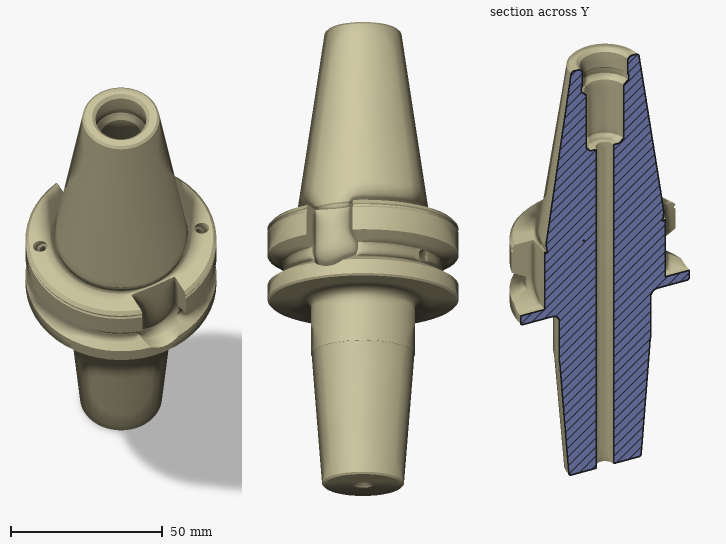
import cadquery as cq
import math

total_height = 155.4
flange_bottom_z = 63.0
flange_top_z = 89.0
groove_mid_z = 73.5
neck_end_z = 44.8

nose_radius = 13.5
nose_chamfer = 0.6
cone_top_radius = 17.0
neck_radius = 17.1
neck_fillet = 2.5

flange_diameter = 63.0
flange_radius = flange_diameter / 2
flange_edge_chamfer = 0.6
flange_top_chamfer = 1.1
groove_floor_radius = 26.4
groove_floor_width = 4.4
groove_flank_angle = 30.0
mark_depth = 0.5
mark_top_z = 87.8
mark_width = 1.5

taper_foot_z = 91.0
taper_foot_radius = 22.0
taper_ratio = 7 / 24 / 2
taper_top_chamfer = 0.8
relief_radius = 21.8
relief_chamfer = 0.5
relief_outer_radius = 23.3
relief_depth = 0.8
relief_undercut = 0.3
relief_lip_height = 0.6

coolant_radius = 3.1
bore_mouth_radius = 9.5
pilot_radius = 8.4
pilot_depth = 6.8
undercut_radius = 8.7
undercut_depth = 9.2
thread_radius = 6.8
thread_depth = 31.1
floor_radius = 5.5

slot_width = 16.2
slot_floor_x = 22.5
slot_bottom_z = 66.7

channel_angles = (70.0, 250.0)
channel_radius = 1.1
port_radius = 2.2
port_centre_radius = 26.9
port_depth = 1.9
port_tilt = 25.0
plug_depth = 5.5


def make_body():
    """Revolve the outer outline about Z."""
    groove_low = groove_mid_z - groove_floor_width / 2
    groove_high = groove_mid_z + groove_floor_width / 2
    flank_rise = (flange_radius - groove_floor_radius) * math.tan(math.radians(groove_flank_angle))
    taper_top_radius = taper_foot_radius - (total_height - taper_foot_z) * taper_ratio
    mark_bottom_z = mark_top_z - mark_width
    arc_offset = neck_fillet * (1 - math.sqrt(0.5))

    outline = (
        cq.Workplane("XZ")
        .moveTo(0, 0)
        .lineTo(nose_radius - nose_chamfer, 0)
        .lineTo(nose_radius, nose_chamfer)
        .lineTo(cone_top_radius, neck_end_z)
        .lineTo(neck_radius, neck_end_z)
        .lineTo(neck_radius, flange_bottom_z - neck_fillet)
        .threePointArc(
            (neck_radius + arc_offset, flange_bottom_z - arc_offset),
            (neck_radius + neck_fillet, flange_bottom_z),
        )
        .lineTo(flange_radius - flange_edge_chamfer, flange_bottom_z)
        .lineTo(flange_radius, flange_bottom_z + flange_edge_chamfer)
        .lineTo(flange_radius, groove_low - flank_rise)
        .lineTo(groove_floor_radius, groove_low)
        .lineTo(groove_floor_radius, groove_high)
        .lineTo(flange_radius, groove_high + flank_rise)
        .lineTo(flange_radius, mark_bottom_z)
        .lineTo(flange_radius - mark_depth, mark_bottom_z + mark_depth)
        .lineTo(flange_radius - mark_depth, mark_top_z - mark_depth)
        .lineTo(flange_radius, mark_top_z)
        .lineTo(flange_radius, flange_top_z - flange_top_chamfer)
        .lineTo(flange_radius - flange_top_chamfer, flange_top_z)
        .lineTo(relief_outer_radius, flange_top_z)
        .lineTo(relief_radius - relief_undercut, flange_top_z - relief_depth)
        .lineTo(relief_radius, flange_top_z + relief_lip_height)
        .lineTo(relief_radius, taper_foot_z - relief_chamfer)
        .lineTo(taper_foot_radius, taper_foot_z)
        .lineTo(taper_top_radius, total_height - taper_top_chamfer)
        .lineTo(taper_top_radius - taper_top_chamfer, total_height)
        .lineTo(0, total_height)
        .close()
    )
    return outline.revolve(360, (0, 0, 0), (0, 1, 0))


def make_bore():
    """Stepped bore: chamfered pilot, undercut, thread bore and through coolant hole."""
    mouth_chamfer = bore_mouth_radius - pilot_radius
    undercut_step = undercut_radius - pilot_radius
    thread_chamfer = pilot_radius - thread_radius
    floor_cone = thread_radius - floor_radius
    steps = [
        (bore_mouth_radius, 0),
        (pilot_radius, mouth_chamfer),
        (pilot_radius, pilot_depth),
        (undercut_radius, pilot_depth + undercut_step),
        (undercut_radius, undercut_depth),
        (pilot_radius, undercut_depth),
        (thread_radius, undercut_depth + thread_chamfer),
        (thread_radius, thread_depth),
        (floor_radius, thread_depth + floor_cone),
        (coolant_radius, thread_depth + floor_cone),
        (coolant_radius, total_height),
    ]
    outline = cq.Workplane("XZ").moveTo(0, total_height)
    for radius, depth in steps:
        outline = outline.lineTo(radius, total_height - depth)
    return outline.lineTo(0, 0).close().revolve(360, (0, 0, 0), (0, 1, 0))


def make_drive_slot(side):
    """Round-bottomed slot, open at the flange rim and top; side is -1 or +1 along X."""
    half_width = slot_width / 2
    arc_centre_z = slot_bottom_z + half_width
    start_x = slot_floor_x if side > 0 else -flange_radius
    return (
        cq.Workplane("YZ", origin=(start_x, 0, 0))
        .moveTo(-half_width, flange_top_z)
        .lineTo(-half_width, arc_centre_z)
        .threePointArc((0, slot_bottom_z), (half_width, arc_centre_z))
        .lineTo(half_width, flange_top_z)
        .close()
        .extrude(flange_radius - slot_floor_x)
    )


def make_channel(angle):
    """Tilted port in the flange top joined to a radial plug hole in the V groove."""
    tilt = math.radians(port_tilt)
    inward = cq.Vector(-math.sin(tilt), 0, -math.cos(tilt))
    port_centre = cq.Vector(port_centre_radius, 0, flange_top_z)
    drop = flange_top_z - groove_mid_z
    meeting_point = port_centre + inward * (drop / math.cos(tilt))

    clearance = port_radius
    port = cq.Solid.makeCylinder(
        port_radius, port_depth + clearance, port_centre - inward * clearance, inward
    )
    feed = cq.Solid.makeCylinder(channel_radius, drop / math.cos(tilt), port_centre, inward)

    radial = cq.Vector(1, 0, 0)
    plug_start = cq.Vector(groove_floor_radius - plug_depth, 0, groove_mid_z)
    plug = cq.Solid.makeCylinder(port_radius, plug_depth, plug_start, radial)
    link = cq.Solid.makeCylinder(
        channel_radius, plug_start.x - meeting_point.x, meeting_point, radial
    )
    channel = cq.Workplane(port).union(cq.Workplane(feed))
    channel = channel.union(cq.Workplane(plug)).union(cq.Workplane(link))
    return channel.rotate((0, 0, 0), (0, 0, 1), angle)


result = make_body().cut(make_bore())
for side in (-1, 1):
    result = result.cut(make_drive_slot(side))
for angle in channel_angles:
    result = result.cut(make_channel(angle))